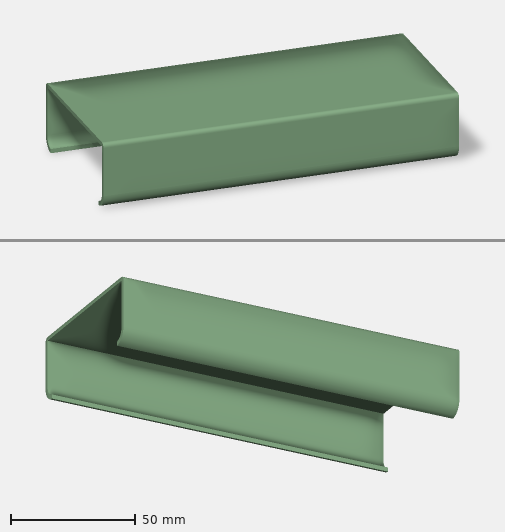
import cadquery as cq
import math

width = 68.3
length = 152.4
height = 29.0

web_thickness = 1.7
wall = 1.8
corner_radius = 1.8
lip_radius = 6.1
lip_inner_radius = lip_radius - wall
lip_reach = 5.6

half_width = width / 2
inner_half_width = half_width - wall
top = height / 2
bottom = -height / 2
lip_end_x = half_width - lip_reach

lip_end_offset = lip_radius - lip_reach
lip_center_z = bottom + math.sqrt(lip_radius**2 - lip_end_offset**2)
lip_end_top = lip_center_z - math.sqrt(lip_inner_radius**2 - lip_end_offset**2)


def half_channel():
    """Right half of the channel: half the web, one side wall and its inward-curled lip."""
    return (
        cq.Workplane("XZ", origin=(0, length / 2, 0))
        .moveTo(0, top)
        .lineTo(half_width - corner_radius, top)
        .radiusArc((half_width, top - corner_radius), corner_radius)
        .lineTo(half_width, lip_center_z)
        .radiusArc((lip_end_x, bottom), lip_radius)
        .lineTo(lip_end_x, lip_end_top)
        .radiusArc((inner_half_width, lip_center_z), -lip_inner_radius)
        .lineTo(inner_half_width, top - web_thickness)
        .lineTo(0, top - web_thickness)
        .close()
        .extrude(length)
    )


right_half = half_channel()
result = right_half.union(right_half.mirror("YZ")).clean()